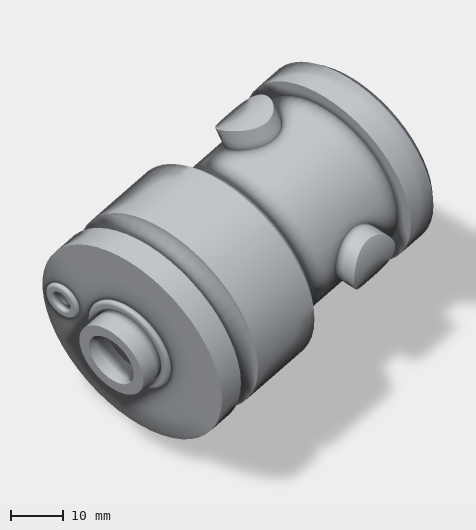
import cadquery as cq
import math

total_length = 71.0
rear_y = total_length / 2
stem_end_y = -total_length / 2

body_radius = 22.5
neck_radius = 17.5
flange_radius = 20.8
flange_thickness = 8.0
flange_chamfer = 1.5
neck_end_y = rear_y - 33.0
shoulder_chamfer = 1.0
shoulder_fillet = body_radius - shoulder_chamfer - neck_radius
groove_radius = 2.5
groove_y = rear_y - 56.95
face_y = rear_y - 65.0

stem_radius = 8.0
bore_radius = 5.6
bore_depth = 5.3
seal_outer_radius = 10.15
seal_inner_radius = stem_radius
seal_height = 1.35

port_x = -16.8
port_hole_radius = 1.5
port_hole_depth = 3.0
port_seal_outer_radius = 4.0
port_seal_inner_radius = 2.05
port_seal_height = 1.2

plug_radius = 3.0
plug_depth = 4.0
plug_circle_radius = 16.0
plug_count = 4
first_plug_angle = 45

pin_count = 3
pin_radius = 5.95
pin_y = rear_y - 20.0
pin_reach = 22.0
pin_crown_radius = 12.0


def along_y(x, z, start_y, radius, length):
    """Cylinder running from start_y toward +Y."""
    return cq.Workplane(cq.Solid.makeCylinder(
        radius, length, cq.Vector(x, start_y, z), cq.Vector(0, 1, 0)))


def make_body():
    shoulder_y = neck_end_y - shoulder_fillet
    diagonal = shoulder_fillet * math.sqrt(0.5)
    fillet_mid = (neck_radius + shoulder_fillet - diagonal, neck_end_y - diagonal)
    flange_front_y = rear_y - flange_thickness
    profile = (
        cq.Workplane("XY")
        .moveTo(0, rear_y)
        .lineTo(flange_radius - flange_chamfer, rear_y)
        .lineTo(flange_radius, rear_y - flange_chamfer)
        .lineTo(flange_radius, flange_front_y)
        .lineTo(neck_radius, flange_front_y)
        .lineTo(neck_radius, neck_end_y)
        .threePointArc(fillet_mid, (body_radius - shoulder_chamfer, shoulder_y))
        .lineTo(body_radius, shoulder_y - shoulder_chamfer)
        .lineTo(body_radius, groove_y + groove_radius)
        .threePointArc((body_radius - groove_radius, groove_y),
                       (body_radius, groove_y - groove_radius))
        .lineTo(body_radius, face_y)
        .lineTo(stem_radius, face_y)
        .lineTo(stem_radius, stem_end_y)
        .lineTo(0, stem_end_y)
        .close()
    )
    return profile.revolve(360, (0, 0, 0), (0, 1, 0))


def make_pin(angle):
    """Round pin with a crowned end, turned about the Y axis."""
    pin = (
        cq.Workplane("YZ")
        .center(pin_y, 0)
        .circle(pin_radius)
        .extrude(pin_reach)
    )
    crown = along_y(pin_reach - pin_crown_radius, 0, pin_y - pin_radius,
                    pin_crown_radius, 2 * pin_radius)
    return pin.intersect(crown).rotate((0, 0, 0), (0, 1, 0), angle)


def make_seal(x, outer_radius, inner_radius, height):
    """Ring on the end face: half-round outer rim, quarter-round inner rim."""
    rim = height / 2
    diagonal = rim * math.sqrt(0.5)
    top_y = face_y - height
    section = (
        cq.Workplane("XY")
        .moveTo(inner_radius, face_y)
        .lineTo(outer_radius - rim, face_y)
        .threePointArc((outer_radius, face_y - rim), (outer_radius - rim, top_y))
        .lineTo(inner_radius + rim, top_y)
        .threePointArc((inner_radius + rim - diagonal, top_y + rim - diagonal),
                       (inner_radius, top_y + rim))
        .close()
    )
    ring = section.revolve(360, (0, 0, 0), (0, 1, 0))
    return ring.translate((x, 0, 0))


result = make_body()
for index in range(pin_count):
    result = result.union(make_pin(index * 360 / pin_count))

result = result.union(
    make_seal(0, seal_outer_radius, seal_inner_radius, seal_height))
result = result.union(
    make_seal(port_x, port_seal_outer_radius, port_seal_inner_radius,
              port_seal_height))

result = result.cut(along_y(0, 0, stem_end_y, bore_radius, bore_depth))
result = result.cut(along_y(port_x, 0, face_y, port_hole_radius, port_hole_depth))

for index in range(plug_count):
    angle = math.radians(first_plug_angle + index * 360 / plug_count)
    plug = along_y(plug_circle_radius * math.cos(angle), plug_circle_radius * math.sin(angle),
                   face_y, plug_radius, plug_depth)
    result = result.union(plug, clean=False)